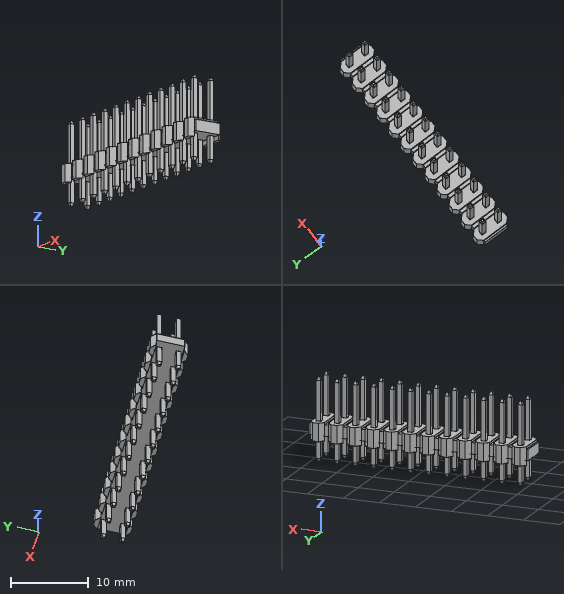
import cadquery as cq

columns = 12
rows = 2
total_length = 30.48
pitch = total_length / columns

block_width = 2.0
block_depth = 5.0
block_height = 2.5
end_flat_width = 0.8
rail_depth = 3.72
rail_bottom = 0.65
rail_height = 1.55

pin_size = 0.65
tip_size = 0.27
tip_height = 0.45
pin_above = 5.9
total_height = 11.4
pin_bottom = block_height + pin_above - total_height


def centred_positions(count):
    """Places of evenly pitched items, centred on zero."""
    return [(i - (count - 1) / 2) * pitch for i in range(count)]


def copies_at(shape, places):
    """One copy of the shape at each (x, y) place."""
    solid = shape.val()
    return cq.Workplane("XY").pushPoints(places).eachpoint(solid.moved)


def make_rail():
    """Bar that joins all the blocks along X."""
    return (
        cq.Workplane("XY", origin=(0, 0, rail_bottom))
        .rect(total_length, rail_depth)
        .extrude(rail_height)
    )


def make_block():
    """Eight-sided block around one pair of pins, open underneath between its two feet."""
    side = block_width / 2
    flat = end_flat_width / 2
    shoulder = rail_depth / 2
    end = block_depth / 2
    outline = [
        (side, -shoulder),
        (side, shoulder),
        (flat, end),
        (-flat, end),
        (-side, shoulder),
        (-side, -shoulder),
        (-flat, -end),
        (flat, -end),
    ]
    block = cq.Workplane("XY").polyline(outline).close().extrude(block_height)
    channel = cq.Workplane("XY").rect(block_width, rail_depth).extrude(rail_bottom)
    return block.cut(channel)


def make_tip():
    """Tapered pin tip that stands on Z = 0 and narrows upwards."""
    return (
        cq.Workplane("XY")
        .rect(pin_size, pin_size)
        .workplane(offset=tip_height)
        .rect(tip_size, tip_size)
        .loft(ruled=True)
    )


def make_pin():
    """Square pin through the body, tapered at both ends."""
    shaft_bottom = pin_bottom + tip_height
    shaft_height = total_height - 2 * tip_height
    shaft = (
        cq.Workplane("XY", origin=(0, 0, shaft_bottom))
        .rect(pin_size, pin_size)
        .extrude(shaft_height)
    )
    top_tip = make_tip().translate((0, 0, shaft_bottom + shaft_height))
    bottom_tip = make_tip().mirror("XY").translate((0, 0, shaft_bottom))
    return shaft.union(top_tip).union(bottom_tip)


column_places = centred_positions(columns)
row_places = centred_positions(rows)
block_places = [(x, 0) for x in column_places]
pin_places = [(x, y) for x in column_places for y in row_places]

body = make_rail().union(copies_at(make_block(), block_places))
result = body.union(copies_at(make_pin(), pin_places)).clean()